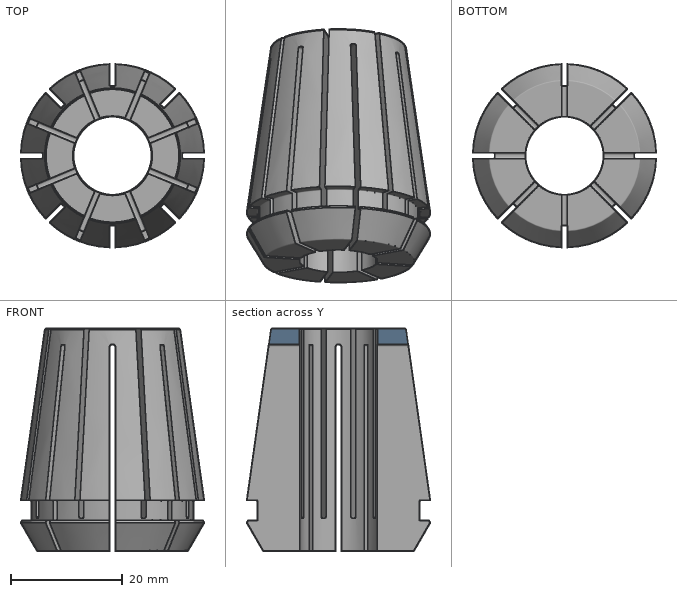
import cadquery as cq
import math

length = 40.0
flange_radius = 16.5
flange_rim_height = 5.1
flange_top = 5.5
flange_top_radius = 16.25
flange_angle = 30.0
groove_radius = 14.6
groove_fillet = 0.15
bottom_edge_fillet = 0.25
groove_top = 9.1
taper_radius = 16.5
taper_angle = 8.0
bore_radius = 7.0
bore_chamfer = 0.15
top_edge_chamfer = 0.25

slot_count = 8
slot_width = 1.0
slot_corner_radius = 0.4
lower_slot_top = 37.1
upper_slot_bottom = 5.9

slot_pitch = 360.0 / slot_count
flange_bottom_radius = flange_radius - flange_rim_height * math.tan(math.radians(flange_angle))
top_radius = taper_radius - (length - groove_top) * math.tan(math.radians(taper_angle))
bottom_tangent = bottom_edge_fillet * math.tan(math.radians(90 - flange_angle) / 2)
bottom_fillet_end_radius = flange_bottom_radius + bottom_tangent * math.sin(math.radians(flange_angle))
bottom_fillet_end_height = bottom_tangent * math.cos(math.radians(flange_angle))
taper_end_height = length - top_edge_chamfer
taper_end_radius = top_radius + top_edge_chamfer * math.tan(math.radians(taper_angle))


def collet_body():
    """Revolved blank: nut flange, extraction groove, clamping taper and bore."""
    half_section = (
        cq.Workplane("XZ")
        .moveTo(bore_radius, 0)
        .lineTo(flange_bottom_radius - bottom_tangent, 0)
        .radiusArc((bottom_fillet_end_radius, bottom_fillet_end_height), -bottom_edge_fillet)
        .lineTo(flange_radius, flange_rim_height)
        .lineTo(flange_top_radius, flange_top)
        .lineTo(groove_radius + groove_fillet, flange_top)
        .radiusArc((groove_radius, flange_top + groove_fillet), groove_fillet)
        .lineTo(groove_radius, groove_top - groove_fillet)
        .radiusArc((groove_radius + groove_fillet, groove_top), groove_fillet)
        .lineTo(taper_radius, groove_top)
        .lineTo(taper_end_radius, taper_end_height)
        .lineTo(taper_end_radius - top_edge_chamfer, length)
        .lineTo(bore_radius + bore_chamfer, length)
        .lineTo(bore_radius, length - bore_chamfer)
        .close()
    )
    return half_section.revolve(360, (0, 0, 0), (0, 1, 0))


def radial_slot(closed_end, open_end, angle):
    """Cutter from the axis outwards, with rounded corners at its closed end."""
    half_width = slot_width / 2
    half_flat = half_width - slot_corner_radius
    direction = math.copysign(1, open_end - closed_end)
    round_start = closed_end + direction * slot_corner_radius
    arc_radius = -direction * slot_corner_radius
    cutter = (
        cq.Workplane("YZ")
        .moveTo(-half_width, open_end)
        .lineTo(-half_width, round_start)
        .radiusArc((-half_flat, closed_end), arc_radius)
        .lineTo(half_flat, closed_end)
        .radiusArc((half_width, round_start), arc_radius)
        .lineTo(half_width, open_end)
        .close()
        .extrude(2 * flange_radius)
    )
    return cutter.rotate((0, 0, 0), (0, 0, 1), angle)


result = collet_body()
for index in range(slot_count):
    lower_angle = index * slot_pitch
    upper_angle = lower_angle + slot_pitch / 2
    result = result.cut(radial_slot(lower_slot_top, 0, lower_angle))
    result = result.cut(radial_slot(upper_slot_bottom, length, upper_angle))